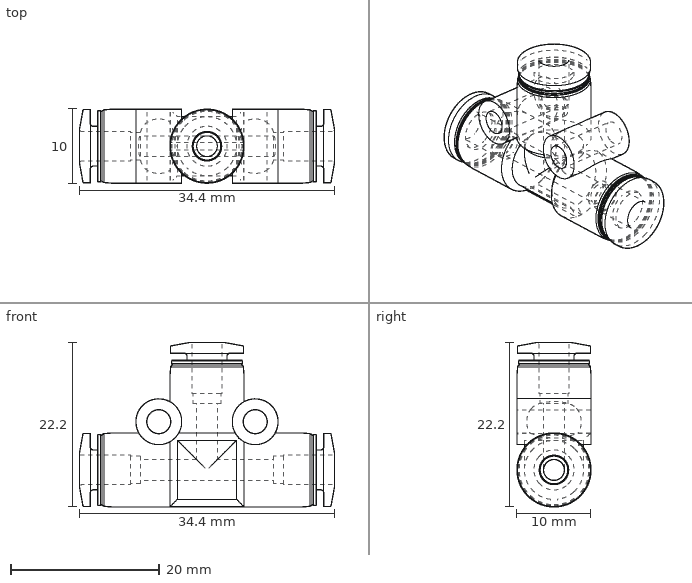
import cadquery as cq
import math

PORT_LENGTH = 17.2
BODY_R = 10.0 / 2
NECK_R = 4.0
NECK_LENGTH = 4.0

BUTTON_R = 9.9 / 2
BUTTON_CONE_DEPTH = 0.48
BUTTON_EDGE_RADIUS = 0.2
BUTTON_DEPTH = 1.48
STEM_R = 5.4 / 2
STEM_FILLET = 0.395

COLLAR_R = 9.6 / 2
COLLAR_DEPTH = 2.4
COLLAR_CHAMFER = 0.1
GROOVE_START = 2.82
GROOVE_END = 3.05
GROOVE_DEPTH = 0.1
GROOVE_R = COLLAR_R - GROOVE_DEPTH
BODY_START = 3.35
BODY_EDGE_R = 4.92
TAPER_END = 4.37

MOUTH_R = 2.3
SOCKET_R = 4.0 / 2
SOCKET_DEPTH = 6.88
STOP_R = 1.85
STOP_DEPTH = 8.25
PASSAGE_R = 2.8 / 2

LUG_OFFSET = 6.5
LUG_R = 6.2 / 2
LUG_HOLE_R = 3.2 / 2

WEB_THICKNESS = 1.0


def port_body():
    """Solid of revolution for one port, pointing along +Z."""
    end = PORT_LENGTH
    shoulder = NECK_LENGTH + BODY_R - NECK_R
    cone_angle = math.atan2(BUTTON_CONE_DEPTH, BUTTON_R - MOUTH_R)
    rim_arc = math.pi / 2 - cone_angle
    rim_centre_r = BUTTON_R - BUTTON_EDGE_RADIUS
    rim_centre_z = end - BUTTON_CONE_DEPTH - BUTTON_EDGE_RADIUS * math.tan(rim_arc / 2)

    def rim_point(angle):
        return (
            rim_centre_r + BUTTON_EDGE_RADIUS * math.cos(angle),
            rim_centre_z + BUTTON_EDGE_RADIUS * math.sin(angle),
        )

    fillet_end = end - BUTTON_DEPTH - STEM_FILLET
    arc_middle = STEM_FILLET * (1 - math.sqrt(0.5))
    outline = (
        cq.Workplane("XZ")
        .lineTo(NECK_R, 0)
        .lineTo(NECK_R, NECK_LENGTH)
        .lineTo(BODY_R, shoulder)
        .lineTo(BODY_R, end - TAPER_END)
        .lineTo(BODY_EDGE_R, end - BODY_START)
        .lineTo(COLLAR_R, end - GROOVE_END)
        .lineTo(GROOVE_R, end - GROOVE_END)
        .lineTo(GROOVE_R, end - GROOVE_START)
        .lineTo(COLLAR_R, end - GROOVE_START)
        .lineTo(COLLAR_R, end - COLLAR_DEPTH - COLLAR_CHAMFER)
        .lineTo(COLLAR_R - COLLAR_CHAMFER, end - COLLAR_DEPTH)
        .lineTo(STEM_R, end - COLLAR_DEPTH)
        .lineTo(STEM_R, fillet_end)
        .threePointArc(
            (STEM_R + arc_middle, end - BUTTON_DEPTH - arc_middle),
            (STEM_R + STEM_FILLET, end - BUTTON_DEPTH),
        )
        .lineTo(BUTTON_R, end - BUTTON_DEPTH)
        .lineTo(*rim_point(0))
        .threePointArc(rim_point(rim_arc / 2), rim_point(rim_arc))
        .lineTo(MOUTH_R, end)
        .lineTo(0, end)
        .close()
    )
    return outline.revolve(360, (0, 0, 0), (0, 1, 0))


def port_bore():
    """Stepped bore of one port, pointing along +Z."""
    end = PORT_LENGTH
    mouth_radius = MOUTH_R - SOCKET_R
    mouth_middle = mouth_radius * (1 - math.sqrt(0.5))
    outline = (
        cq.Workplane("XZ")
        .lineTo(PASSAGE_R, 0)
        .lineTo(PASSAGE_R, end - STOP_DEPTH)
        .lineTo(STOP_R, end - STOP_DEPTH)
        .lineTo(STOP_R, end - SOCKET_DEPTH)
        .lineTo(SOCKET_R, end - SOCKET_DEPTH)
        .lineTo(SOCKET_R, end - mouth_radius)
        .threePointArc(
            (SOCKET_R + mouth_middle, end - mouth_middle),
            (MOUTH_R, end),
        )
        .lineTo(0, end)
        .close()
    )
    return outline.revolve(360, (0, 0, 0), (0, 1, 0))


def at_ports(shape):
    """Union of a +Z shape placed on the upper, right and left ports."""
    right = shape.rotate((0, 0, 0), (0, 1, 0), 90)
    left = right.mirror("YZ")
    return right.union(left).clean().union(shape)


def across_width(radius):
    """Cylinders along Y at both lug centres, spanning the body width."""
    centres = [(-LUG_OFFSET, LUG_OFFSET), (LUG_OFFSET, LUG_OFFSET)]
    return cq.Workplane("XZ", origin=(0, BODY_R, 0)).pushPoints(centres).circle(radius).extrude(2 * BODY_R)


def web():
    """Upright web joining the two shoulders below the neck."""
    length = 2 * (NECK_LENGTH + BODY_R - NECK_R)
    height = math.sqrt(BODY_R**2 - (WEB_THICKNESS / 2) ** 2)
    plate = cq.Workplane("XY").box(length, WEB_THICKNESS, height, centered=(True, True, False))
    return plate.translate((0, 0, -height))


solid_body = at_ports(port_body()).union(across_width(LUG_R)).union(web())
result = solid_body.cut(at_ports(port_bore())).cut(across_width(LUG_HOLE_R))